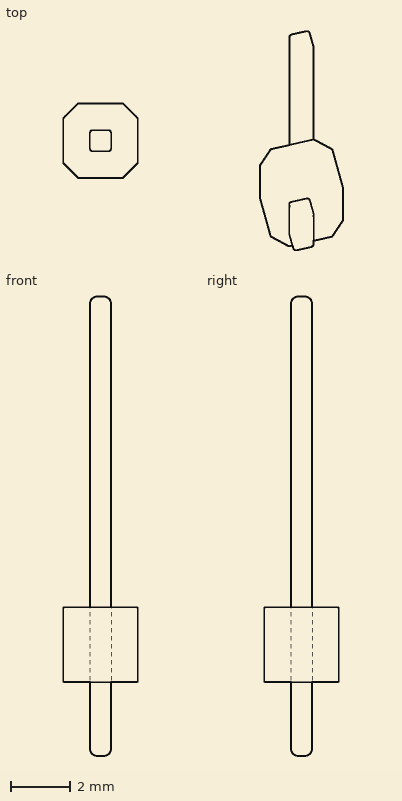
import cadquery as cq

pin_length = 15.54
pin_width = 0.71
tip_radius = 0.25
pin_corner_radius = 0.1
housing_width = 2.53
housing_height = 2.53
housing_bottom = 2.5
housing_corner_cut = 0.51
housing_edge_radius = 0.05


def make_square_pin():
    """Square bar with rounded-over ends and softened long corners, standing on z = 0."""
    bar = cq.Workplane("XY").rect(pin_width, pin_width).extrude(pin_length)
    rounded_ends = bar.faces("|Z").edges().fillet(tip_radius)
    return rounded_ends.edges("|Z").fillet(pin_corner_radius)


def make_housing(pin):
    """Block with four cut corners and softened edges, pierced by the pin."""
    block = (
        cq.Workplane("XY")
        .workplane(offset=housing_bottom)
        .rect(housing_width, housing_width)
        .extrude(housing_height)
    )
    octagon = block.edges("|Z").chamfer(housing_corner_cut)
    return octagon.edges().fillet(housing_edge_radius).cut(pin)


pin = make_square_pin()
housing = make_housing(pin)

result = cq.Compound.makeCompound([housing.val(), pin.val()])